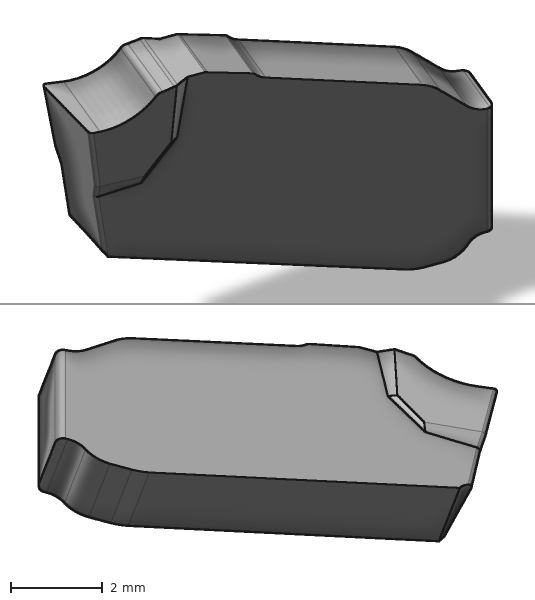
import cadquery as cq

length = 10.0
height = 7.0
body_width = 1.49
half_body = body_width / 2

tip_height = 6.41
rake_length = 0.5
rake_slope = 0.13
relief_slope = 0.132
lead_slope = 0.13
tip_half_width = 1.01
side_relief = 0.048
side_draft = 0.057
corner_radius = 0.1
tip_setback = 0.014

back_top = 3.89
back_bottom = 0.51
back_radius = 0.18

block = 20.0
overhang = 0.5
pad_reach = 3.0
corner_edge_min_height = 0.25


def half_space(corners, inside):
    """Block bounded by the plane through three corners, on the side of the inside point."""
    a, b, c = (cq.Vector(*p) for p in corners)
    normal = (b - a).cross(c - a).normalized()
    if normal.dot(cq.Vector(*inside) - a) < 0:
        normal = normal * -1
    plane = cq.Plane(origin=a, xDir=(b - a), normal=normal)
    return cq.Workplane(plane).rect(block, block).extrude(block)


def head_half_width(y, z):
    """Half width of the tapered head at a given place."""
    return tip_half_width - side_relief * y - side_draft * (tip_height - z)


def side_pad():
    """Tapered widening on the +X side: a sloping side face with three ramps down to the body."""
    foot = [(2.69, height), (2.44, 5.42), (1.58, 4.43), (0.3, 4.36)]
    crest = [(2.35, height), (1.96, 5.05), (0.24, 4.79)]
    inside = (half_body, 1.0, 5.5)

    pad = cq.Workplane("XY").box(
        2 * tip_half_width, pad_reach + overhang, height, centered=False
    ).translate((0, -overhang, 0))
    for start, end, outer in zip(foot, foot[1:], crest):
        corners = [(half_body, *start), (half_body, *end), (head_half_width(*outer), *outer)]
        pad = pad.intersect(half_space(corners, inside))
    side_face = [(head_half_width(y, z), y, z) for y, z in [(0, 0), (0, height), (pad_reach, 0)]]
    return pad.intersect(half_space(side_face, inside))


def side_profile():
    """Outline in the YZ plane, with the front left long for the front face to trim."""
    return (
        cq.Workplane("YZ")
        .moveTo(-overhang, tip_height + rake_slope * overhang)
        .lineTo(rake_length, tip_height - rake_slope * rake_length)
        .tangentArcPoint((1.84, 6.86), relative=False)
        .threePointArc((1.91, 6.92), (2.01, 6.94))
        .lineTo(2.29, 6.99)
        .threePointArc((2.33, 6.997), (2.375, height))
        .lineTo(3.09, height)
        .threePointArc((3.13, 6.995), (3.16, 6.98))
        .lineTo(4.25, 6.61)
        .threePointArc((4.28, 6.59), (4.31, 6.56))
        .threePointArc((4.41, 6.47), (4.55, 6.4))
        .lineTo(8.28, 5.03)
        .threePointArc((8.51, 4.91), (8.71, 4.74))
        .lineTo(9.34, 4.12)
        .threePointArc((9.59, 3.95), (9.9, back_top))
        .lineTo(length, back_top)
        .lineTo(length, back_bottom)
        .lineTo(9.77, back_bottom)
        .threePointArc((9.54, 0.46), (9.36, 0.3))
        .threePointArc((9.12, 0.09), (8.8, 0.0))
        .lineTo(8.3, 0.0)
        .threePointArc((8.1, 0.02), (7.9, 0.07))
        .lineTo(0.79, 2.65)
        .threePointArc((0.65, 2.83), (0.46, 2.92))
        .lineTo(-overhang, 2.92)
        .close()
    )


def front_trim():
    """Everything behind the inclined and skewed front face."""
    tip_x = -tip_half_width

    def front_y(x, z):
        return lead_slope * (x - tip_x) + relief_slope * (tip_height - z) - tip_setback

    corners = [(x, front_y(x, z), z) for x, z in [(tip_x, height), (tip_x, 0), (-tip_x, 0)]]
    return half_space(corners, (0, length, 0))


body = (
    cq.Workplane("XY")
    .box(body_width, length + overhang, height, centered=(True, False, False))
    .translate((0, -overhang, 0))
    .edges("|Z and >Y")
    .fillet(back_radius)
)

pad = side_pad()
blank = body.union(pad).union(pad.mirror("YZ"))
outline = side_profile().extrude(2 * tip_half_width, both=True)
shape = blank.intersect(outline).intersect(front_trim())

front_normal = cq.Vector(-lead_slope, 1, relief_slope).normalized()
parallel = 0.9999


def is_front_corner(edge):
    """True for the upright edges along either side of the front face."""
    is_upright = edge.BoundingBox().zlen > corner_edge_min_height
    return is_upright and abs(edge.Center().x) > half_body - corner_radius


front_face = [f for f in shape.faces().vals() if f.normalAt().dot(front_normal) < -parallel][0]
front_corners = [e for e in front_face.Edges() if is_front_corner(e)]
result = shape.newObject(front_corners).fillet(corner_radius)